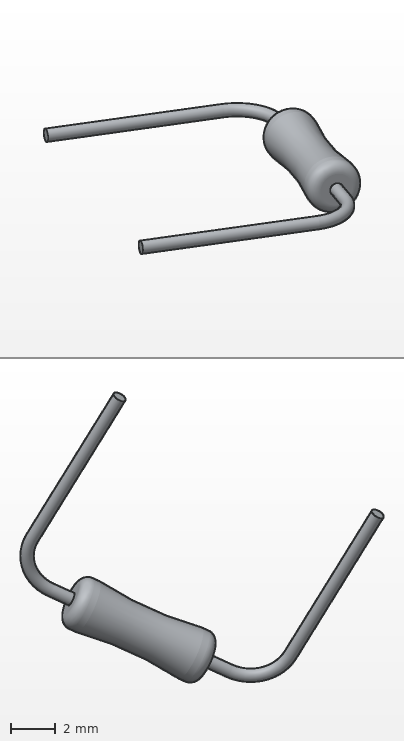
import cadquery as cq

SPAN = 13.6
WIRE_DIAMETER = 0.61
BEND_RADIUS = 2.0
LEG_END_Y = -10.3

BODY_LENGTH = 6.8
BODY_CENTER_X = -0.07
BODY_RADIUS = 1.25
WAIST_RADIUS = 1.06
END_ROUND = 0.49
COLLAR_LENGTH = 0.82

wire_radius = WIRE_DIAMETER / 2
leg_x = SPAN / 2 - wire_radius


def make_wire():
    """One round wire: leg, bend, straight run through the body, bend, leg."""
    run_x = leg_x - BEND_RADIUS
    path = (
        cq.Workplane("XY")
        .moveTo(-leg_x, LEG_END_Y)
        .lineTo(-leg_x, -BEND_RADIUS)
        .tangentArcPoint((-run_x, 0), relative=False)
        .lineTo(run_x, 0)
        .tangentArcPoint((leg_x, -BEND_RADIUS), relative=False)
        .lineTo(leg_x, LEG_END_Y)
    )
    leg_end = cq.Workplane("XZ", origin=(-leg_x, LEG_END_Y, 0))
    return leg_end.circle(wire_radius).sweep(path)


def make_resistor_body():
    """Waisted body of revolution about X, with a through hole for the wire."""
    half_length = BODY_LENGTH / 2
    waist_end = half_length - COLLAR_LENGTH
    round_start = half_length - END_ROUND
    face_radius = BODY_RADIUS - END_ROUND
    return (
        cq.Workplane("XY", origin=(BODY_CENTER_X, 0, 0))
        .moveTo(-half_length, wire_radius)
        .lineTo(-half_length, face_radius)
        .tangentArcPoint((-round_start, BODY_RADIUS), relative=False)
        .lineTo(-waist_end, BODY_RADIUS)
        .threePointArc((0, WAIST_RADIUS), (waist_end, BODY_RADIUS))
        .lineTo(round_start, BODY_RADIUS)
        .tangentArcPoint((half_length, face_radius), relative=False)
        .lineTo(half_length, wire_radius)
        .close()
        .revolve(360, (0, 0, 0), (1, 0, 0))
    )


lead_wire = make_wire()
resistor_body = make_resistor_body()

result = cq.Compound.makeCompound([resistor_body.val(), lead_wire.val()])